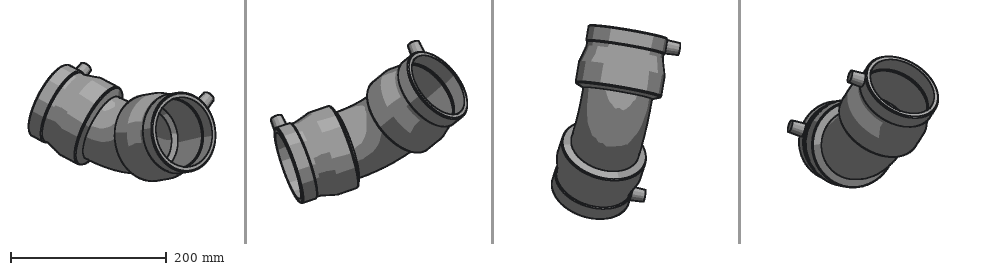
import cadquery as cq
import math

bend_angle = 45.0
leg_length = 121.08
socket_length = 80.5

ring_radius = 103.0 / 2
neck_radius = 100.0 / 2
body_radius = 112.0 / 2
mouth_chamfer = ring_radius - neck_radius
ring_end = 19.5
neck_start = 21.3
neck_end = 26.9
body_start = 48.1
body_end = 74.5
shoulder_x = 76.5
shoulder_radius = 55.0

pipe_radius = 90.0 / 2
bore_radius = 39.2
seat_start = 74.5
groove_start = 20.0
groove_width = 3.0
groove_depth = 0.5

terminal_x = 10.5
terminal_base_radius = 9.2
terminal_tip_radius = 8.0
terminal_base_y = 48.5
terminal_tip_y = 69.07

bend_radius = (leg_length - socket_length) / math.tan(math.radians(bend_angle / 2))
bend_center_z = bend_radius


def make_bend(radius):
    """Swept round bar from the end of one socket to the end of the other."""
    return (
        cq.Workplane("YZ", origin=(socket_length, 0, 0))
        .circle(radius)
        .revolve(bend_angle, (2.5, bend_center_z), (-2.5, bend_center_z))
    )


def make_socket_body():
    return (
        cq.Workplane("XY")
        .lineTo(0, ring_radius - mouth_chamfer)
        .lineTo(mouth_chamfer, ring_radius)
        .lineTo(ring_end, ring_radius)
        .lineTo(neck_start, neck_radius)
        .lineTo(neck_end, neck_radius)
        .lineTo(body_start, body_radius)
        .lineTo(body_end, body_radius)
        .lineTo(shoulder_x, shoulder_radius)
        .lineTo(socket_length, pipe_radius)
        .lineTo(socket_length, 0)
        .close()
        .revolve(360, (0, 0), (1, 0))
    )


def make_socket_cavity():
    """Pipe bore with a shallow groove and a conical seat at its inner end."""
    groove_end = groove_start + groove_width
    groove_radius = pipe_radius + groove_depth
    return (
        cq.Workplane("XY")
        .lineTo(0, pipe_radius)
        .lineTo(groove_start, pipe_radius)
        .lineTo(groove_start, groove_radius)
        .lineTo(groove_end, groove_radius)
        .lineTo(groove_end, pipe_radius)
        .lineTo(seat_start, pipe_radius)
        .lineTo(socket_length, bore_radius)
        .lineTo(socket_length, 0)
        .close()
        .revolve(360, (0, 0), (1, 0))
    )


def make_terminal():
    return (
        cq.Workplane("XY")
        .moveTo(terminal_x, terminal_base_y)
        .lineTo(terminal_x + terminal_base_radius, terminal_base_y)
        .lineTo(terminal_x + terminal_tip_radius, terminal_tip_y)
        .lineTo(terminal_x, terminal_tip_y)
        .close()
        .revolve(360, (terminal_x, 0), (terminal_x, 1))
    )


def at_upper_end(shape):
    """Copy of a lower-socket shape, facing out of the upper end of the bend."""
    corner = (leg_length, 0, 0)
    corner_axis_end = (leg_length, 1, 0)
    return shape.rotate(corner, corner_axis_end, 180 - bend_angle)


socket = make_socket_body().union(make_terminal())
cavity = make_socket_cavity()

result = (
    make_bend(pipe_radius)
    .union(socket)
    .union(at_upper_end(socket))
    .cut(make_bend(bore_radius))
    .cut(cavity)
    .cut(at_upper_end(cavity))
)